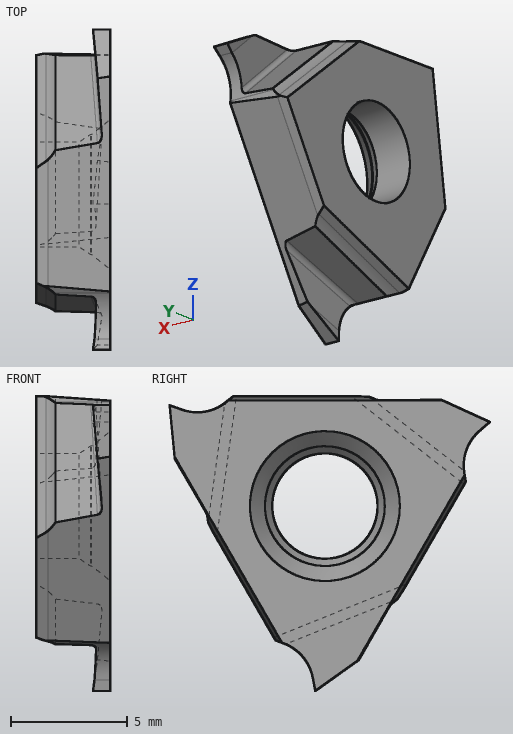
import cadquery as cq
import math

thickness = 3.19
inradius = 4.73
straight_depth = 0.5
side_taper = 4.0
corner_count = 3
tip_y = -6.69
tip_z = 4.35

flank_lean = 5.5
relief_start_y = -3.95
relief_end = (-4.25, 4.48)
edge_start = (-6.22, 4.18)
margin = 2.76

pocket_turn = 8.0
wall_profile_start = (0.0, 4.43)
wall_chamfer_end = (0.41, 4.6)
wall_arc_end = (0.83, 4.88)
wall_lean = 2.9
floor_root_x = 2.79
floor_root_reach = 4.96
floor_rise = 3.0
land_reach = 6.73
land_rise = 7.0
floor_side_tilt = 3.4
root_radius = 0.22
pocket_half_length = 8.27
pocket_reach = 10.34

hole_radius = 2.26
seat_start = 1.85
seat_land_start = 2.33
seat_land_end = 2.37
seat_land_radius = 2.58
seat_mouth_radius = 3.23


def tan_deg(angle):
    return math.tan(math.radians(angle))


def triangle(x, radius):
    """Triangular section with the given inscribed radius and one side facing +Z."""
    half_side = radius * math.sqrt(3)
    points = [(-half_side, radius), (half_side, radius), (0, -2 * radius)]
    return cq.Workplane("YZ", origin=(x, 0, 0)).polyline(points).close()


def tapered_plate():
    straight = triangle(0, inradius).extrude(straight_depth)
    taper_depth = thickness - straight_depth
    tapered = triangle(straight_depth, inradius).extrude(taper_depth, taper=side_taper)
    return straight.union(tapered)


def corner_trim():
    """Material outside one cutting tip: the hollow above it and the flank beside it."""
    flank_foot_z = -margin
    flank_foot_y = tip_y + (tip_z - flank_foot_z) * tan_deg(flank_lean)
    outer_y = tip_y - 2 * margin
    outer_z = inradius + margin
    return (
        cq.Workplane("YZ")
        .moveTo(relief_start_y, outer_z)
        .lineTo(relief_start_y, inradius)
        .lineTo(*relief_end)
        .tangentArcPoint(edge_start, relative=False)
        .lineTo(tip_y, tip_z)
        .lineTo(flank_foot_y, flank_foot_z)
        .lineTo(outer_y, flank_foot_z)
        .lineTo(outer_y, outer_z)
        .close()
        .extrude(thickness)
    )


def pocket_cutter():
    """Chip pocket in a frame with reach along -Y and its length along Z."""
    wall_foot_x = thickness + margin
    wall_foot_reach = wall_arc_end[1] + (wall_foot_x - wall_arc_end[0]) * tan_deg(wall_lean)
    beyond_wall = (
        cq.Workplane("XY", origin=(0, 0, -pocket_half_length))
        .moveTo(wall_profile_start[0], -wall_profile_start[1])
        .lineTo(wall_chamfer_end[0], -wall_chamfer_end[1])
        .tangentArcPoint((wall_arc_end[0], -wall_arc_end[1]), relative=False)
        .lineTo(wall_foot_x, -wall_foot_reach)
        .lineTo(wall_foot_x, -pocket_reach)
        .lineTo(wall_profile_start[0], -pocket_reach)
        .close()
        .extrude(2 * pocket_half_length)
    )

    land_x = floor_root_x - (land_reach - floor_root_reach) * tan_deg(floor_rise)
    floor_end_x = land_x - (pocket_reach - land_reach) * tan_deg(land_rise)
    inner_reach = floor_root_reach - margin
    floor_start_x = floor_root_x + margin * tan_deg(floor_rise)
    above_floor = (
        cq.Workplane("XY", origin=(0, 0, -2 * pocket_half_length))
        .moveTo(-margin, -inner_reach)
        .lineTo(floor_start_x, -inner_reach)
        .lineTo(land_x, -land_reach)
        .lineTo(floor_end_x, -pocket_reach)
        .lineTo(-margin, -pocket_reach)
        .close()
        .extrude(4 * pocket_half_length)
        .rotate((0, 0, 0), (0, 1, 0), -floor_side_tilt)
    )
    root_point = (floor_root_x, -floor_root_reach, 0)
    return (
        beyond_wall.intersect(above_floor)
        .edges(cq.selectors.NearestToPointSelector(root_point))
        .fillet(root_radius)
        .rotate((0, 0, 0), (1, 0, 0), -pocket_turn)
    )


def mounting_hole():
    profile = [
        (0, 0),
        (0, hole_radius),
        (seat_start, hole_radius),
        (seat_land_start, seat_land_radius),
        (seat_land_end, seat_land_radius),
        (thickness, seat_mouth_radius),
        (thickness, 0),
    ]
    return cq.Workplane("XY").polyline(profile).close().revolve(360, (0, 0, 0), (1, 0, 0))


result = tapered_plate().cut(mounting_hole())
corner_cutter = corner_trim().union(pocket_cutter())
for corner in range(corner_count):
    turn = corner * 360 / corner_count
    result = result.cut(corner_cutter.rotate((0, 0, 0), (1, 0, 0), turn))